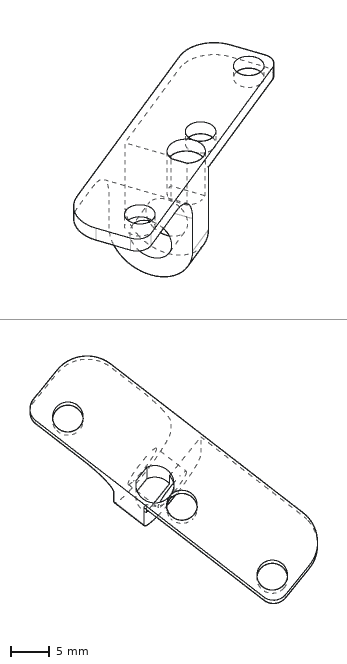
import cadquery as cq
import math

plate_length = 42.0
plate_width = 12.0
plate_thickness = 2.0
large_corner_radius = 5.0
small_corner_radius = 2.0

total_height = 18.5
lug_thickness = 5.0
lug_front_y = -6.0
lug_back_y = lug_front_y + lug_thickness
lug_end_radius = plate_width / 2
pivot_z = lug_end_radius - total_height
pivot_diameter = 6.0
web_fillet_radius = 5.0

hole_row_x = plate_width / 2 - 3.0
screw_hole_diameter = 4.0
middle_hole_y = 3.0
end_hole_inset_front = 5.0
end_hole_inset_back = 3.0
screw_hole_ys = [
    end_hole_inset_front - plate_length / 2,
    middle_hole_y,
    plate_length / 2 - end_hole_inset_back,
]

pocket_diameter = 5.0
pocket_hole_wall = 0.005
pocket_flat_offset = 2.23
pocket_depth = plate_thickness + web_fillet_radius
pocket_y = middle_hole_y - (screw_hole_diameter + pocket_diameter) / 2 - pocket_hole_wall


def make_plate():
    plate = cq.Workplane("XY").box(
        plate_width, plate_length, plate_thickness, centered=(True, True, False)
    ).translate((0, 0, -plate_thickness))
    plate = plate.edges("|Z and <X").fillet(large_corner_radius)
    return plate.edges("|Z and >X").fillet(small_corner_radius)


def make_lug():
    """Round-ended lug with its pivot bore."""
    return (
        cq.Workplane("XZ", origin=(0, lug_back_y, 0))
        .moveTo(-lug_end_radius, -plate_thickness / 2)
        .lineTo(-lug_end_radius, pivot_z)
        .threePointArc((0, -total_height), (lug_end_radius, pivot_z))
        .lineTo(lug_end_radius, -plate_thickness / 2)
        .close()
        .extrude(lug_thickness)
        .faces("<Y")
        .workplane(origin=(0, lug_front_y, pivot_z))
        .hole(pivot_diameter)
    )


def make_web_fillet():
    """Concave web joining the -Y face of the lug to the plate underside."""
    radius = web_fillet_radius
    arc_offset = radius * (1 - math.sqrt(0.5))
    underside_z = -plate_thickness
    return (
        cq.Workplane("YZ", origin=(-plate_width / 2, 0, 0))
        .moveTo(lug_front_y, underside_z)
        .lineTo(lug_front_y, underside_z - radius)
        .threePointArc(
            (lug_front_y - arc_offset, underside_z - arc_offset),
            (lug_front_y - radius, underside_z),
        )
        .close()
        .extrude(plate_width)
    )


def make_screw_holes():
    return (
        cq.Workplane("XY")
        .pushPoints([(hole_row_x, y) for y in screw_hole_ys])
        .circle(screw_hole_diameter / 2)
        .extrude(-plate_thickness)
    )


def make_pocket():
    radius = pocket_diameter / 2
    half_flat = math.sqrt(radius**2 - pocket_flat_offset**2)
    flat_y = pocket_y - pocket_flat_offset
    return (
        cq.Workplane("XY")
        .moveTo(hole_row_x - half_flat, flat_y)
        .threePointArc((hole_row_x, pocket_y + radius), (hole_row_x + half_flat, flat_y))
        .close()
        .extrude(-pocket_depth)
    )


bracket = make_plate().union(make_lug()).union(make_web_fillet())
result = bracket.cut(make_screw_holes()).cut(make_pocket())